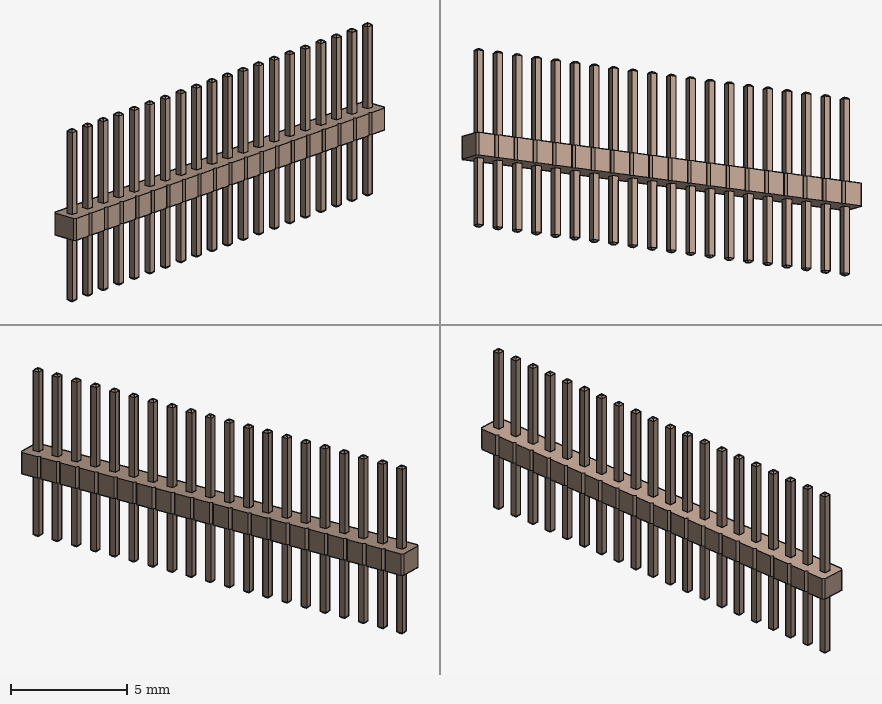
import cadquery as cq

pin_count = 20
pitch = 1.0

body_width = 1.25
body_height = 1.0
corner_chamfer = 0.1

pin_side = 0.3
pin_above_body = 3.8
pin_below_body = 3.0
tip_chamfer = 0.08

pin_length = pin_below_body + body_height + pin_above_body
row_length = pin_count * pitch
pin_positions = [(0, (i + 0.5) * pitch - row_length / 2) for i in range(pin_count)]


def body_segment(position):
    """One pitch of the body; its chamfered corners form V-grooves between neighbours."""
    return (
        cq.Workplane("XY")
        .center(*position)
        .rect(body_width, pitch)
        .extrude(body_height)
        .edges("|Z")
        .chamfer(corner_chamfer)
    )


def pin(position):
    """Square pin with both tips chamfered on all four sides."""
    return (
        cq.Workplane("XY")
        .workplane(offset=-pin_below_body)
        .center(*position)
        .rect(pin_side, pin_side)
        .extrude(pin_length)
        .faces("<Z or >Z")
        .chamfer(tip_chamfer)
    )


result = body_segment(pin_positions[0])
for position in pin_positions[1:]:
    result = result.union(body_segment(position))
result = result.clean()
for position in pin_positions:
    result = result.union(pin(position))